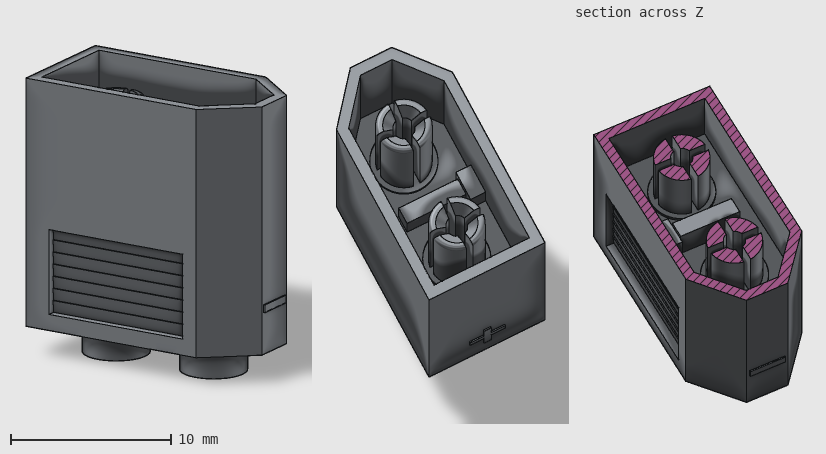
import cadquery as cq

overall_height = 18.2
overall_length = 15.9
housing_width = 8.15
mark_height = 0.1
housing_length = overall_length - 2 * mark_height
tail_length = 2.0
housing_height = overall_height - tail_length
taper_start = 12.54
nose_width = 2.91
wall = 0.73
cavity_depth = 9.1
floor_z = housing_height - cavity_depth

pin_spacing = 7.17
pair_center_x = 7.68
pin_centers = [(pair_center_x - pin_spacing / 2, 0), (pair_center_x + pin_spacing / 2, 0)]
tail_diameter = 4.25
collar_height = 0.18
pin_diameter = 3.55
pin_rim_diameter = 3.0
pin_rounding = (pin_diameter - pin_rim_diameter) / 2
pin_top_z = housing_height - 1.5
collar_top_z = floor_z + collar_height
bore_diameter = 1.36
funnel_diameter = 2.64
funnel_depth = (funnel_diameter - bore_diameter) / 2
pin_slot_width = 0.45

divider_x = 7.65
divider_length = 1.13
divider_width = 4.15
divider_y = -0.13
key_length = 2.0
key_width = 1.05
rib_height = 1.82

panel_left = 1.71
panel_length = 9.83
panel_bottom = 1.05
panel_height = 5.53
slat_count = 7
slat_pitch = panel_height / slat_count
slat_top_depth = 0.45
slat_bottom_depth = 0.55

mark_z = 2.98
mark_span = 2.48
mark_bar = 0.51


def box(size, start):
    """Box of the given size with its lowest X, Y, Z corner at start."""
    return cq.Workplane("XY").box(*size, centered=False).translate(start)


def make_housing():
    side = housing_width / 2
    nose = nose_width / 2
    outline = [
        (0, -side),
        (taper_start, -side),
        (housing_length, -nose),
        (housing_length, nose),
        (taper_start, side),
        (0, side),
    ]
    shell = cq.Workplane("XY").polyline(outline).close().extrude(housing_height)
    cavity = (
        cq.Workplane("XY", origin=(0, 0, floor_z))
        .polyline(outline)
        .close()
        .offset2D(-wall)
        .extrude(cavity_depth)
    )
    return shell.cut(cavity)


def make_panel_recess():
    """Stack of slats, each sloping inward from its top edge to its bottom edge."""
    face_y = -housing_width / 2
    profile = [(face_y, panel_bottom)]
    for slat in range(slat_count):
        slat_bottom = panel_bottom + slat * slat_pitch
        profile.append((face_y + slat_bottom_depth, slat_bottom))
        profile.append((face_y + slat_top_depth, slat_bottom + slat_pitch))
    profile.append((face_y, panel_bottom + panel_height))
    return (
        cq.Workplane("YZ", origin=(panel_left, 0, 0))
        .polyline(profile)
        .close()
        .extrude(panel_length)
    )


def make_divider_and_key():
    divider = box(
        (divider_length, divider_width, rib_height),
        (divider_x - divider_length / 2, divider_y - divider_width / 2, floor_z),
    )
    key = box(
        (key_length, key_width, rib_height),
        (divider_x - key_length / 2, -housing_width / 2 + wall, floor_z),
    )
    return divider.union(key)


def make_pin():
    """Split contact pin with a rounded tip, a funnel-mouthed bore and a solder tail."""
    post_height = pin_top_z - collar_top_z
    tail = (
        cq.Workplane("XY", origin=(0, 0, -tail_length))
        .circle(tail_diameter / 2)
        .extrude(tail_length + collar_top_z)
    )
    post = (
        cq.Workplane("XY", origin=(0, 0, collar_top_z))
        .circle(pin_diameter / 2)
        .extrude(post_height)
        .faces(">Z")
        .edges()
        .fillet(pin_rounding)
    )
    bore = (
        cq.Workplane("XZ")
        .moveTo(0, collar_top_z)
        .lineTo(bore_diameter / 2, collar_top_z)
        .lineTo(bore_diameter / 2, pin_top_z - funnel_depth)
        .lineTo(funnel_diameter / 2, pin_top_z)
        .lineTo(0, pin_top_z)
        .close()
        .revolve(360, (0, 0, 0), (0, 1, 0))
    )
    cross_slot = (
        cq.Workplane("XY", origin=(0, 0, collar_top_z))
        .rect(pin_diameter, pin_slot_width)
        .extrude(post_height)
    )
    post = post.cut(bore).cut(cross_slot)
    post = post.cut(cross_slot.rotate((0, 0, 0), (0, 0, 1), 90))
    return tail.union(post)


def make_polarity_marks():
    """Raised plus on the flat end and raised minus on the nose."""
    across = box(
        (mark_height, mark_span, mark_bar),
        (-mark_height, -mark_span / 2, mark_z - mark_bar / 2),
    )
    upright = box(
        (mark_height, mark_bar, mark_span),
        (-mark_height, -mark_bar / 2, mark_z - mark_span / 2),
    )
    minus = across.translate((housing_length + mark_height, 0, 0))
    return across.union(upright), minus


result = make_housing().cut(make_panel_recess()).union(make_divider_and_key())
for pin_x, pin_y in pin_centers:
    result = result.union(make_pin().translate((pin_x, pin_y, 0)))
for mark in make_polarity_marks():
    result = result.union(mark)